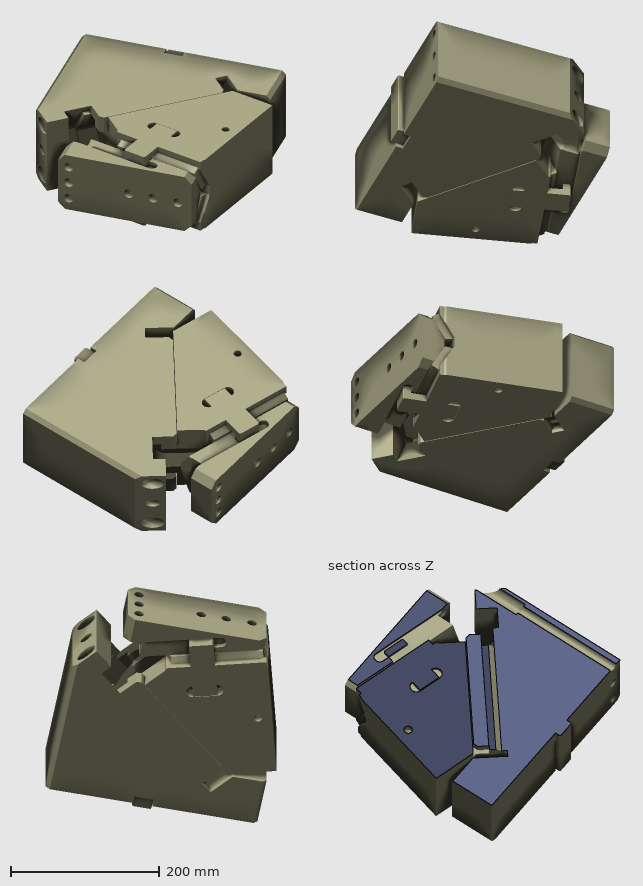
import cadquery as cq
import math

HALF_HEIGHT = 55.0
FAR = 360.5

SLIDEWAY_ANGLE = 40.0
SLIDEWAY_START = (100.5, 90.7)
SLIDEWAY_GAP = 1.0
NECK_HALF = 30.3
HEAD_HALF = 40.0
HEAD_DEPTH = 21.5
HEAD_SHOULDER = 30.0
CONTACT_HALF = 27.0
V_SLOPE = 0.73
V_FLAT_HALF = 1.8
V_START_DEPTH = 34.2
WEAR_THICKNESS = 7.8

GUIDE_ANGLE = 15.0
GUIDE_START = (123.8, 59.8)
RIDGE_BASE = -13.5
RIDGE_TOP = 8.7
RIDGE_FLAT_HALF = 5.7
DRIVER_HALF = 43.3
RECESS_HALF = 35.0
HOOK_LEFT = 33.0
HOOK_RIGHT = 66.0

slide_cos = math.cos(math.radians(SLIDEWAY_ANGLE))
slide_sin = math.sin(math.radians(SLIDEWAY_ANGLE))
guide_cos = math.cos(math.radians(GUIDE_ANGLE))
guide_sin = math.sin(math.radians(GUIDE_ANGLE))


def slide_point(travel, depth):
    """XY point given along and across the slideway."""
    x = SLIDEWAY_START[0] + travel * slide_cos - depth * slide_sin
    y = SLIDEWAY_START[1] + travel * slide_sin + depth * slide_cos
    return (x, y)


def guide_point(along, rise):
    """XY point given along and across the driver guide."""
    x = GUIDE_START[0] + along * guide_cos + rise * guide_sin
    y = GUIDE_START[1] - along * guide_sin + rise * guide_cos
    return (x, y)


def plate(points, bottom, top):
    """Flat prism with an XY outline."""
    return cq.Workplane("XY").workplane(offset=bottom).polyline(points).close().extrude(top - bottom)


def mirrored_section(plane, half_outline, length):
    """Prism whose section is an outline for Z > 0 joined to its mirror image below."""
    lower = [(across, -height) for across, height in reversed(half_outline)]
    return cq.Workplane(plane).polyline(half_outline + lower).close().extrude(length)


def slideway_plane(travel):
    """Plane across the slideway, with local axes (depth, Z)."""
    x, y = slide_point(travel, 0)
    return cq.Plane((x, y, 0), xDir=(-slide_sin, slide_cos, 0), normal=(slide_cos, slide_sin, 0))


def slideway_bar(half_outline, start, end):
    """Bar along the slideway; its outline is given as (depth, Z)."""
    return mirrored_section(slideway_plane(start), half_outline, end - start)


def guide_plane(start):
    """Plane across the driver guide, with local axes (rise, Z)."""
    x, y = guide_point(start, 0)
    return cq.Plane((x, y, 0), xDir=(guide_sin, guide_cos, 0), normal=(guide_cos, -guide_sin, 0))


def v_depth(height):
    """Depth of the holder's V floor at a given height above Z = 0."""
    return V_START_DEPTH + (HALF_HEIGHT - height) * V_SLOPE


def above_and_below(shape):
    """A shape together with its mirror image in Z = 0."""
    return shape.union(shape.mirror("XY"))


HOLDER_BACK = 275.8
HOLDER_RIGHT = 290.8
HOLDER_STEP = 209.7
HOLDER_CHAMFER = 5.7
TIP_START = -81.7
TIP_END = -50.8
TIP_DEPTH = 17.5
UPPER_NOTCH_DEPTH = 38.0
JAW_START = -10.8
JAW_END = 169.0
JAW_BEVEL = 6.0
UPPER_NOTCH_END = 186.5
WEAR_OVERHANG = 9.0

KEY_LEFT = 120.2
KEY_RIGHT = 146.5
KEY_FRONT = 265.5
KEY_BACK = 284.0
KEY_HALF = 49.3
KEY_CHAMFER = 1.5

TIP_HOLE_X = 15.3
TIP_HOLE_RADIUS = 6.3
COUNTERBORE_RADIUS = 10.0
COUNTERBORE_END = 120.2
COUNTERBORE_Z = 39.5


def holder_body():
    """Block with a notch at each end of the slideway and chamfered left and right edges."""
    bevel_run = JAW_BEVEL - SLIDEWAY_GAP
    tip_corner_y = SLIDEWAY_START[1] + (TIP_START + SLIDEWAY_START[0] * slide_cos) / slide_sin
    notch_mouth = slide_point(UPPER_NOTCH_END, 0)
    notch_mouth_x = notch_mouth[0] - (HOLDER_STEP - notch_mouth[1]) * slide_sin / slide_cos
    outline = [
        (0, HOLDER_BACK),
        (HOLDER_RIGHT, HOLDER_BACK),
        (HOLDER_RIGHT, HOLDER_STEP),
        (notch_mouth_x, HOLDER_STEP),
        slide_point(UPPER_NOTCH_END, UPPER_NOTCH_DEPTH),
        slide_point(JAW_END, UPPER_NOTCH_DEPTH),
        slide_point(JAW_END, JAW_BEVEL),
        slide_point(JAW_END - bevel_run, SLIDEWAY_GAP),
        slide_point(JAW_START + bevel_run, SLIDEWAY_GAP),
        slide_point(JAW_START, JAW_BEVEL),
        slide_point(JAW_START, V_START_DEPTH),
        slide_point(TIP_END, V_START_DEPTH),
        slide_point(TIP_END, TIP_DEPTH),
        slide_point(TIP_START, TIP_DEPTH),
        (0, tip_corner_y),
    ]
    body = plate(outline, -HALF_HEIGHT, HALF_HEIGHT)
    return body.faces("<X or >X").edges("|Y").chamfer(HOLDER_CHAMFER)


def holder_slot():
    """V floors of both notches and the T-shaped slot between the two notches."""
    notch_floor = [
        (V_START_DEPTH, HALF_HEIGHT),
        (v_depth(V_FLAT_HALF), V_FLAT_HALF),
    ]
    slot = [
        (0, NECK_HALF),
        (HEAD_DEPTH, NECK_HALF),
        (HEAD_DEPTH, HEAD_HALF),
        (v_depth(HEAD_HALF), HEAD_HALF),
        (v_depth(V_FLAT_HALF), V_FLAT_HALF),
    ]
    cut = slideway_bar(slot, JAW_START, JAW_END)
    cut = cut.union(slideway_bar(notch_floor, TIP_END, JAW_START))
    return cut.union(slideway_bar(notch_floor, JAW_END, UPPER_NOTCH_END))


def wear_face():
    """Raised V face along the slot floor, on which the tongue of the slider bears."""
    half = [
        (v_depth(V_FLAT_HALF), V_FLAT_HALF),
        (v_depth(HEAD_HALF), HEAD_HALF),
        (v_depth(HEAD_HALF) - WEAR_THICKNESS, HEAD_HALF),
        (v_depth(V_FLAT_HALF) - WEAR_THICKNESS, V_FLAT_HALF),
    ]
    return slideway_bar(half, JAW_START - WEAR_OVERHANG, JAW_END + WEAR_OVERHANG)


def y_cylinder(x, z, radius, start, end):
    """Cylinder along Y."""
    plane = cq.Plane((x, start, z), xDir=(1, 0, 0), normal=(0, 1, 0))
    return cq.Workplane(plane).circle(radius).extrude(end - start)


def make_holder():
    """Holder with its slot, fixing holes and locating key."""
    holder = holder_body().cut(holder_slot()).union(wear_face())
    for z in (-COUNTERBORE_Z, 0, COUNTERBORE_Z):
        holder = holder.cut(y_cylinder(TIP_HOLE_X, z, TIP_HOLE_RADIUS, 0, FAR))
    for z in (-COUNTERBORE_Z, COUNTERBORE_Z):
        holder = holder.cut(y_cylinder(TIP_HOLE_X, z, COUNTERBORE_RADIUS, 0, COUNTERBORE_END))

    key_corners = [
        (KEY_LEFT, KEY_FRONT),
        (KEY_RIGHT, KEY_FRONT),
        (KEY_RIGHT, KEY_BACK),
        (KEY_LEFT, KEY_BACK),
    ]
    holder = holder.cut(plate(key_corners, -HALF_HEIGHT, HALF_HEIGHT))
    key = plate(key_corners, -KEY_HALF, KEY_HALF).faces(">Y").edges("|Z").chamfer(KEY_CHAMFER)
    return holder.union(key)


DRIVER_LEFT = 59.8
DRIVER_RIGHT = 250.2
DRIVER_STEP_X = 87.5
DRIVER_STEP_Y = 35.0
DRIVER_CHAMFER = 10.2
RIDGE_START = -35.0
GROOVE_FRONT = -35.7
GROOVE_BACK = -21.0
GROOVE_END = 83.0
DRIVER_HOLE_RADIUS = 6.5
DRIVER_COLUMN_X = 75.0
DRIVER_COLUMN_Z = 25.0
DRIVER_ROW_X = (160.5, 195.0, 230.0)


def guide_line_y(x, rise):
    """Y at a given X on the line of constant rise."""
    return GUIDE_START[1] + (rise - (x - GUIDE_START[0]) * guide_sin) / guide_cos


def ridge(start, end):
    """Truncated V ridge on which the slider runs."""
    half = [(RIDGE_BASE, DRIVER_HALF), (RIDGE_TOP, RIDGE_FLAT_HALF)]
    return mirrored_section(guide_plane(start), half, end - start)


def hook_recess():
    """Lowered area and round-ended groove in which the upper hook slides."""
    lowered = [
        guide_point(-FAR, GROOVE_FRONT),
        guide_point(HOOK_RIGHT, GROOVE_FRONT),
        guide_point(HOOK_RIGHT, RIDGE_TOP),
        guide_point(-FAR, RIDGE_TOP),
    ]
    radius = (GROOVE_BACK - GROOVE_FRONT) / 2
    middle = (GROOVE_BACK + GROOVE_FRONT) / 2
    groove = [
        guide_point(HOOK_LEFT, GROOVE_FRONT),
        guide_point(GROOVE_END - radius, GROOVE_FRONT),
        guide_point(GROOVE_END - radius, GROOVE_BACK),
        guide_point(HOOK_LEFT, GROOVE_BACK),
    ]
    round_end = cq.Workplane("XY").workplane(offset=RECESS_HALF)
    round_end = round_end.center(*guide_point(GROOVE_END - radius, middle))
    round_end = round_end.circle(radius).extrude(DRIVER_HALF - RECESS_HALF)
    recess = plate(lowered, RECESS_HALF, DRIVER_HALF).union(plate(groove, RECESS_HALF, DRIVER_HALF))
    return recess.union(round_end)


def make_driver():
    """Driver block with its guide ridge, hook recesses and holes."""
    body = plate(
        [
            (DRIVER_LEFT, 0),
            (DRIVER_RIGHT, 0),
            (DRIVER_RIGHT, guide_line_y(DRIVER_RIGHT, RIDGE_BASE)),
            (DRIVER_STEP_X, guide_line_y(DRIVER_STEP_X, RIDGE_BASE)),
            (DRIVER_STEP_X, DRIVER_STEP_Y),
            (DRIVER_LEFT, DRIVER_STEP_Y),
        ],
        -DRIVER_HALF,
        DRIVER_HALF,
    )
    driver = body.union(ridge(RIDGE_START, FAR))

    width = DRIVER_RIGHT - DRIVER_LEFT
    envelope = cq.Workplane("XY").box(width, FAR, 2 * DRIVER_HALF).edges("|Y").chamfer(DRIVER_CHAMFER)
    driver = driver.intersect(envelope.translate(((DRIVER_LEFT + DRIVER_RIGHT) / 2, 0, 0)))

    driver = driver.cut(above_and_below(hook_recess()))
    for z in (-DRIVER_COLUMN_Z, 0, DRIVER_COLUMN_Z):
        driver = driver.cut(y_cylinder(DRIVER_COLUMN_X, z, DRIVER_HOLE_RADIUS, 0, FAR))
    for x in DRIVER_ROW_X:
        driver = driver.cut(y_cylinder(x, 0, DRIVER_HOLE_RADIUS, 0, FAR))
    return driver


SLIDER_LEFT_DEPTH = -35.7
SLIDER_RIGHT = 137.0
SLIDER_FOOT_RIGHT = 135.5
SLIDER_FOOT_RISE = 6.0
SLIDER_FOOT_STEP = 8.7
SLIDER_TOP = 171.2
TONGUE_END = 175.0
HEAD_START = 7.2
GROOVE_HALF = 42.0
GROOVE_TOP = 19.8
GROOVE_FLAT_HALF = 7.5
LIP_HALF = 45.0
LIP_EDGE = -9.0
LIP_EDGE_HALF = 40.0
LIP_START = 7.0
LIP_END = 131.5
ARM_HALF = 45.0
HOOK_TIP = -32.0
HOOK_CHAMFER = 1.5
HOOK_GAP = 0.5
HOOK_SLOT_RISE = 39.5
HOOK_SLOT_RADIUS = 8.5
SLIDER_HOLE_ALONG = 118.0
SLIDER_HOLE_RISE = 86.5
SLIDER_HOLE_RADIUS = 5.5
SLIDER_HOLE_DEPTH = 24.0
DRILL_POINT_ANGLE = 118.0
END_POCKET_HALF = 18.0
END_POCKET_DEPTH = 12.5
END_POCKET_LENGTH = 24.5


def slideway_at_rise(rise):
    """Travel at which the slideway line reaches a given rise."""
    start_rise = (SLIDEWAY_START[0] - GUIDE_START[0]) * guide_sin
    start_rise += (SLIDEWAY_START[1] - GUIDE_START[1]) * guide_cos
    return (rise - start_rise) / (slide_cos * guide_sin + slide_sin * guide_cos)


def tongue():
    """T-shaped tongue with a tapered head."""
    top_travel = slideway_at_rise(SLIDER_TOP)
    corner_depth = (top_travel - TONGUE_END) / math.tan(math.radians(SLIDEWAY_ANGLE + GUIDE_ANGLE))
    neck = [
        slide_point(0, 0),
        slide_point(0, HEAD_DEPTH),
        slide_point(TONGUE_END, HEAD_DEPTH),
        slide_point(TONGUE_END, corner_depth),
        slide_point(top_travel, 0),
    ]
    head = [
        (HEAD_DEPTH, HEAD_HALF),
        (HEAD_SHOULDER, HEAD_HALF),
        (v_depth(CONTACT_HALF) - WEAR_THICKNESS, CONTACT_HALF),
        (v_depth(V_FLAT_HALF) - WEAR_THICKNESS, V_FLAT_HALF),
    ]
    return plate(neck, -NECK_HALF, NECK_HALF).union(slideway_bar(head, HEAD_START, TONGUE_END))


def slider_groove():
    """V groove for the ridge; it widens behind the left end wall to take the bearing strips."""
    half = [(-FAR, GROOVE_HALF), (0, GROOVE_HALF), (GROOVE_TOP, GROOVE_FLAT_HALF)]
    wide = mirrored_section(guide_plane(LIP_START), half, FAR)
    return wide.union(ridge(-FAR, LIP_START))


def bearing_strip():
    """Strip that fills the groove's upper flank down to the ridge of the driver."""
    slope = (RIDGE_TOP - RIDGE_BASE) / (DRIVER_HALF - RIDGE_FLAT_HALF)
    section = [
        (0, LIP_HALF),
        (LIP_EDGE, LIP_EDGE_HALF),
        (LIP_EDGE, DRIVER_HALF - (LIP_EDGE - RIDGE_BASE) / slope),
        (RIDGE_TOP, RIDGE_FLAT_HALF),
        (GROOVE_TOP, GROOVE_FLAT_HALF),
        (GROOVE_TOP, LIP_HALF),
    ]
    return cq.Workplane(guide_plane(LIP_START)).polyline(section).close().extrude(LIP_END - LIP_START)


def guide_block(rise_start, rise_end, bottom):
    """Block as wide as the hook, from a given height up to the top face."""
    corners = [
        guide_point(HOOK_LEFT, rise_start),
        guide_point(HOOK_RIGHT, rise_start),
        guide_point(HOOK_RIGHT, rise_end),
        guide_point(HOOK_LEFT, rise_end),
    ]
    return plate(corners, bottom, HALF_HEIGHT)


def hook():
    """Arm that reaches over the driver, with a foot down in the driver's groove."""
    foot = guide_block(HOOK_TIP, GROOVE_BACK, RECESS_HALF)
    arm = guide_block(HOOK_TIP, 0, ARM_HALF)
    tip_direction = cq.Vector(-guide_sin, -guide_cos, 0)
    tip_face = cq.selectors.DirectionMinMaxSelector(tip_direction)
    return foot.union(arm).clean().faces(tip_face).edges("|Z").chamfer(HOOK_CHAMFER)


def hook_pocket():
    """Round-ended pocket around the hook's root; the root fills it up to a narrow gap."""
    front = HOOK_SLOT_RISE - HOOK_SLOT_RADIUS
    back = HOOK_SLOT_RISE + HOOK_SLOT_RADIUS
    ends = cq.Workplane("XY").workplane(offset=RECESS_HALF)
    ends = ends.pushPoints([guide_point(along, HOOK_SLOT_RISE) for along in (HOOK_LEFT, HOOK_RIGHT)])
    ends = ends.circle(HOOK_SLOT_RADIUS).extrude(HALF_HEIGHT - RECESS_HALF)
    pocket = ends.union(guide_block(front, back, RECESS_HALF))
    return pocket.cut(guide_block(front, back - HOOK_GAP, RECESS_HALF))


def end_pocket():
    """Channel in the left end face, round at its inner end and open to the driver groove."""
    outline = cq.Workplane(slideway_plane(0)).moveTo(-FAR, -END_POCKET_HALF)
    outline = outline.lineTo(END_POCKET_DEPTH, -END_POCKET_HALF)
    round_tip = (END_POCKET_DEPTH + END_POCKET_HALF, 0)
    outline = outline.threePointArc(round_tip, (END_POCKET_DEPTH, END_POCKET_HALF))
    return outline.lineTo(-FAR, END_POCKET_HALF).close().extrude(END_POCKET_LENGTH)


def blind_hole():
    """Hole in the top face with a conical drill point."""
    x, y = guide_point(SLIDER_HOLE_ALONG, SLIDER_HOLE_RISE)
    bore = cq.Workplane("XY").workplane(offset=HALF_HEIGHT).center(x, y)
    bore = bore.circle(SLIDER_HOLE_RADIUS).extrude(-SLIDER_HOLE_DEPTH)
    point_height = SLIDER_HOLE_RADIUS / math.tan(math.radians(DRILL_POINT_ANGLE / 2))
    base = cq.Vector(x, y, HALF_HEIGHT - SLIDER_HOLE_DEPTH)
    point = cq.Solid.makeCone(SLIDER_HOLE_RADIUS, 0, point_height, base, cq.Vector(0, 0, -1))
    return bore.union(cq.Workplane(point))


def make_slider():
    """Slider with its tongue, V groove, hooks, pockets and blind holes."""
    outline = [
        slide_point(0, 0),
        slide_point(0, SLIDER_LEFT_DEPTH),
        GUIDE_START,
        guide_point(SLIDER_FOOT_RIGHT, 0),
        guide_point(SLIDER_FOOT_RIGHT, SLIDER_FOOT_RISE),
        guide_point(SLIDER_RIGHT, SLIDER_FOOT_STEP),
        guide_point(SLIDER_RIGHT, SLIDER_TOP),
        slide_point(slideway_at_rise(SLIDER_TOP), 0),
    ]
    slider = plate(outline, -HALF_HEIGHT, HALF_HEIGHT).cut(slider_groove())
    slider = slider.union(tongue())
    slider = slider.union(above_and_below(bearing_strip().union(hook())))
    slider = slider.cut(above_and_below(hook_pocket()))
    slider = slider.cut(end_pocket())
    return slider.cut(above_and_below(blind_hole()))


holder = make_holder().solids()
driver = make_driver().solids()
slider = make_slider().solids()
result = cq.Compound.makeCompound([holder.val(), driver.val(), slider.val()])